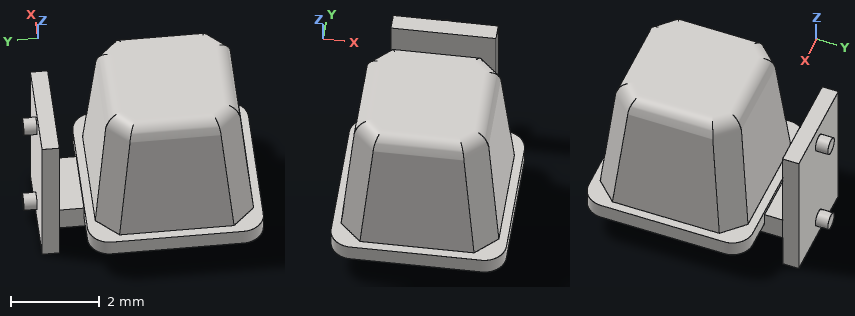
import cadquery as cq

flange_side = 4.0
flange_thickness = 0.4
flange_corner_radius = 0.5
flange_bottom = 0.7

total_height = 4.2
cap_base_side = 3.6
cap_top_side = 3.0
cap_corner_cut = 0.5
cap_top_radius = 0.4

plate_width = 2.4
plate_thickness = 0.4
plate_height = 3.5
plate_gap = 0.6

arm_width = 1.6
arm_bottom = 0.4
arm_height = 0.6
arm_front_setback = 0.6

overall_depth = 5.3
pin_diameter = 0.4
pin_heights = (0.5, 3.0)

flange_top = flange_bottom + flange_thickness
plate_front = flange_side / 2 + plate_gap
plate_back = plate_front + plate_thickness
pin_length = overall_depth - flange_side / 2 - plate_back


def cut_corner_square(side, corner_cut):
    """Corner points of a square whose corners are cut at 45 degrees."""
    outer = side / 2
    inner = outer - corner_cut
    return [
        (inner, outer), (outer, inner), (outer, -inner), (inner, -outer),
        (-inner, -outer), (-outer, -inner), (-outer, inner), (-inner, outer),
    ]


def make_flange():
    return (
        cq.Workplane("XY", origin=(0, 0, flange_bottom))
        .rect(flange_side, flange_side)
        .extrude(flange_thickness)
        .edges("|Z")
        .fillet(flange_corner_radius)
    )


def make_cap():
    return (
        cq.Workplane("XY", origin=(0, 0, flange_top))
        .polyline(cut_corner_square(cap_base_side, cap_corner_cut))
        .close()
        .workplane(offset=total_height - flange_top)
        .polyline(cut_corner_square(cap_top_side, cap_corner_cut))
        .close()
        .loft(ruled=True)
        .faces(">Z")
        .edges()
        .fillet(cap_top_radius)
    )


def make_plate():
    return cq.Workplane("XY").box(
        plate_width, plate_thickness, plate_height, centered=(True, False, False)
    ).translate((0, plate_front, 0))


def make_arm():
    arm_front = -flange_side / 2 + arm_front_setback
    return cq.Workplane("XY").box(
        arm_width, plate_front - arm_front, arm_height, centered=(True, False, False)
    ).translate((0, arm_front, arm_bottom))


def make_pin(height):
    return (
        cq.Workplane("XZ", origin=(0, plate_back, height))
        .circle(pin_diameter / 2)
        .extrude(-pin_length)
    )


result = make_flange().union(make_cap()).union(make_arm()).union(make_plate())
for pin_height in pin_heights:
    result = result.union(make_pin(pin_height))